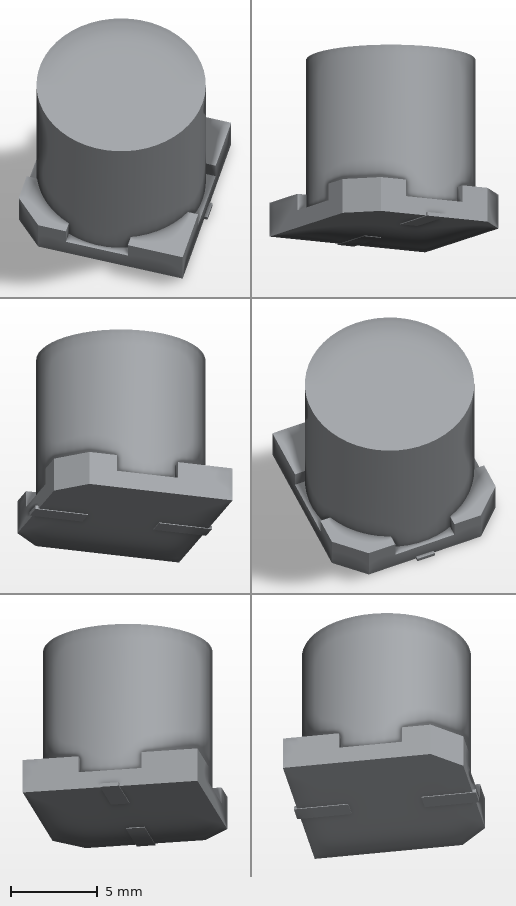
import cadquery as cq

overall_length = 10.69
overall_height = 10.06
base_side = 10.3

base_height = 1.99
corner_cut = 1.62
notch_width = 3.72
notch_depth = 0.97

can_diameter = 9.79

lead_width = 1.1
lead_thickness = 0.21
lead_standoff = 0.04
lead_gap = 4.3

seat_height = base_height - notch_depth
can_height = overall_height - lead_standoff - seat_height
lead_length = (overall_length - lead_gap) / 2
lead_center = (overall_length + lead_gap) / 4


def make_can():
    """Cylindrical can standing on the seat at the notch floor."""
    return cq.Workplane("XY").workplane(offset=seat_height).circle(can_diameter / 2).extrude(can_height)


def make_lead(side):
    """Flat lead on the -X side (side = -1) or the +X side (side = 1)."""
    return (
        cq.Workplane("XY")
        .workplane(offset=-lead_standoff)
        .center(side * lead_center, 0)
        .rect(lead_length, lead_width)
        .extrude(lead_thickness)
    )


def make_base():
    """Base plate with cut corners on -X and a notch in the middle of each side."""
    block = cq.Workplane("XY").rect(base_side, base_side).extrude(base_height)
    block = block.edges("|Z and <X").chamfer(corner_cut)
    seat_plane = cq.Workplane("XY").workplane(offset=seat_height)
    notch_along_x = seat_plane.rect(base_side, notch_width).extrude(notch_depth)
    notch_along_y = seat_plane.rect(notch_width, base_side).extrude(notch_depth)
    return block.cut(notch_along_x).cut(notch_along_y)


can = make_can()
leads = [make_lead(side) for side in (-1, 1)]

base = make_base().cut(can)
for lead in leads:
    base = base.cut(lead)

result = cq.Compound.makeCompound([base.solids().val(), can.val(), *[lead.val() for lead in leads]])